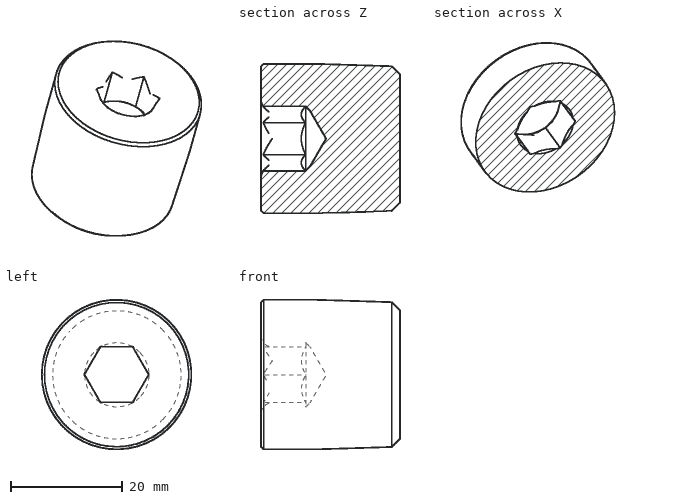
import cadquery as cq
import math

length = 25.0
radius = 26.9 / 2
head_chamfer = 0.5
straight_length = 10.0
end_chamfer = 1.5
taper_ratio = 1 / 16

across_flats = 10.0
flats_depth = 7.25
mouth_round = 2.0
drill_point_angle = 120.0

taper_end_x = length - end_chamfer
taper_end_radius = radius - (taper_end_x - straight_length) * taper_ratio / 2
drill_radius = across_flats / 2
mouth_radius = drill_radius + mouth_round
corner_radius = drill_radius / math.cos(math.pi / 6)

groove_height = corner_radius - drill_radius
groove_bottom_x = flats_depth + groove_height
groove_end_x = groove_bottom_x + groove_height
cone_height = drill_radius / math.tan(math.radians(drill_point_angle / 2))


def revolve_about_x(profile):
    """Turn a profile drawn as (x, radius) about the X axis."""
    return profile.close().revolve(360, (0, 0, 0), (1, 0, 0))


def make_body():
    """Chamfered cylinder that runs into a tapered, chamfered end."""
    return revolve_about_x(
        cq.Workplane("XY")
        .lineTo(0, radius - head_chamfer)
        .lineTo(head_chamfer, radius)
        .lineTo(straight_length, radius)
        .lineTo(taper_end_x, taper_end_radius)
        .lineTo(length, taper_end_radius - end_chamfer)
        .lineTo(length, 0)
    )


def make_round_hole():
    """Hole with a rounded mouth, a relief groove below the flats and a drill point."""
    arc_offset = mouth_round * math.sin(math.pi / 4)
    arc_middle = (mouth_round - arc_offset, mouth_radius - arc_offset)
    return revolve_about_x(
        cq.Workplane("XY")
        .lineTo(0, mouth_radius)
        .threePointArc(arc_middle, (mouth_round, drill_radius))
        .lineTo(flats_depth, drill_radius)
        .lineTo(groove_bottom_x, corner_radius)
        .lineTo(groove_end_x, drill_radius)
        .lineTo(groove_end_x + cone_height, 0)
    )


def make_hexagon():
    """Hexagonal prism with two corners along Y, ending at the bottom of the groove."""
    return cq.Workplane("YZ").polygon(6, 2 * corner_radius).extrude(groove_bottom_x)


result = make_body().cut(make_round_hole()).cut(make_hexagon())